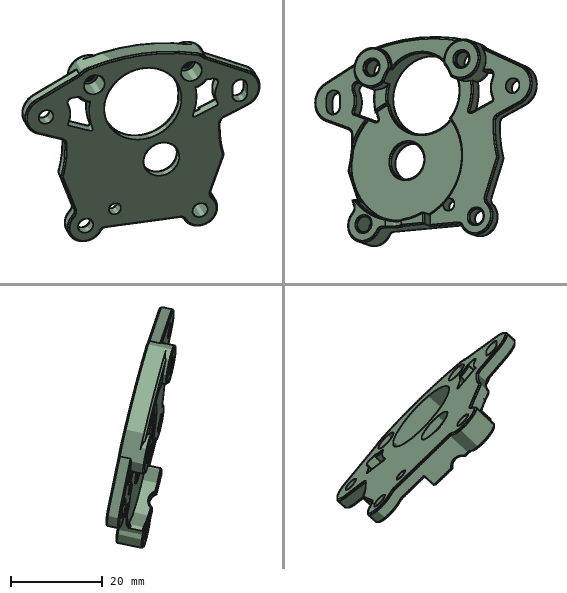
import cadquery as cq
import math


PLATE_HEIGHT = 3.0
POCKET_DEPTH = 0.6
RIM_HEIGHT = 4.95
BOSS_HEIGHT = 6.0
CHAMFER = 0.3
PAD_START = PLATE_HEIGHT / 2
RIM_CHAMFER = 0.55

HALF_WIDTH = 26.6
TOTAL_HEIGHT = 44.5
TOP_Z = 12.3
BOTTOM_Z = TOP_Z - TOTAL_HEIGHT

OPENING_RADIUS = 17.5 / 2
BEARING_RADIUS = 8.1 / 2
POCKET_CENTER = (4.2, -14.3)
POCKET_RADIUS = 13.55
PIN_HOLE_DIAMETER = 2.7
PIN_HOLE_CENTER = (-6.35, -25.0)

BOSS_RADIUS = 4.4
BOSS_Y = 11.0
BOSS_Z = 6.35
SCREW_DIAMETER = 3.4
BOSS_BORE_DIAMETER = 4.7
BOSS_LIP = 0.95

WING_RADIUS = 4.65
WING_Y = HALF_WIDTH - WING_RADIUS
WING_Z = 0.25
WING_TOP_ANGLE = math.radians(26.6)
WING_BOTTOM_ANGLE = math.radians(22.5)
WING_CORNER_FILLET = 1.5
WING_CORNER_Z = -6.65
WING_HOLE_DIAMETER = 3.3
SLOT_LENGTH = 5.3

WINDOW_INNER_RADIUS = 12.2
WINDOW_OUTER_RADIUS = 5.55
WINDOW_TOP_Z = 3.85
WINDOW_SILL_Y = 14.4
WINDOW_SILL_Z = -3.9
WINDOW_TOP_FILLET = 1.05
WINDOW_SILL_FILLET = 0.4
WINDOW_TOP_CORNER = (18.0, WINDOW_TOP_Z)
WINDOW_OUTER_CORNER = (17.2, -2.75)
WINDOW_INNER_CORNER = (10.95, -5.3)

BODY_HALF_WIDTH = 17.55
FLANK_START_Z = -8.8
TIP_Y = 18.45
TIP_Z = -15.45
TIP_FILLET = 1.35
FLANK_ARC_RADIUS = 25.55
BODY_BOTTOM_Z = -29.4

EAR_RADIUS = 4.0
EAR_Y = 13.0
EAR_Z = BOTTOM_Z + EAR_RADIUS
EAR_FLANK_Y = 14.9
EAR_FLANK_Z = -25.55
EAR_SIDE_FILLET = 1.5
EAR_SIDE_CORNER = (15.15, -24.75)
EAR_BOTTOM_FILLET = 1.05

PAD_END_Y = -1.85
PAD_TOP_Z = -22.6
PAD_END_FILLET = 0.55
PAD_END_CORNER_Z = -26.75
PAD_TIP_FILLET = 0.35
PAD_TIP_CORNER_Y = 15.25
DIP_RADIUS = 2.35
DIP_Y = 5.65
DIP_DEPTH = 1.05

ARC_RADIUS = (BOSS_Y**2 + (TOP_Z - BOSS_Z) ** 2 - BOSS_RADIUS**2) / (2 * (TOP_Z - BOSS_Z - BOSS_RADIUS))
ARC_CENTER_Z = TOP_Z - ARC_RADIUS
ARC_SCALE = ARC_RADIUS / (ARC_RADIUS - BOSS_RADIUS)
ARC_END_Y = BOSS_Y * ARC_SCALE
ARC_END_Z = ARC_CENTER_Z + (BOSS_Z - ARC_CENTER_Z) * ARC_SCALE


def plane(height=0.0):
    return cq.Workplane("YZ", origin=(-height, 0, 0))


def cylinder(center, radius, height):
    return plane().center(*center).circle(radius).extrude(-height)


def cone(center, radius, base_height, rise):
    """Cone frustum with 45 degree sides that widens toward the front."""
    base = cq.Vector(-base_height, *center)
    return cq.Workplane(cq.Solid.makeCone(radius, radius + rise, rise, base, cq.Vector(-1, 0, 0)))


def chamfered_hole(center, radius, height):
    """Cutter for a hole whose front edge, at the given height, is chamfered."""
    mouth = cone(center, radius, height - CHAMFER, CHAMFER)
    return cylinder(center, radius, height).union(mouth)


def fillet_upright(body, radius, y, z):
    """Round the edge along X that runs nearest to (y, z)."""
    x = body.val().Center().x
    return body.edges(cq.selectors.NearestToPointSelector((x, y, z))).fillet(radius)


def both_sides(shape):
    return shape.union(shape.mirror("XZ"))


def opening(height):
    return chamfered_hole((0, 0), OPENING_RADIUS, height)


def ear_hole(height):
    return chamfered_hole((EAR_Y, EAR_Z), SCREW_DIAMETER / 2, height)


def wing(height):
    top_y = WING_Y + WING_RADIUS * math.sin(WING_TOP_ANGLE)
    top_z = WING_Z + WING_RADIUS * math.cos(WING_TOP_ANGLE)
    bottom_y = WING_Y + WING_RADIUS * math.sin(WING_BOTTOM_ANGLE)
    bottom_z = WING_Z - WING_RADIUS * math.cos(WING_BOTTOM_ANGLE)
    inner_top_z = top_z + (top_y - BOSS_Y) * math.tan(WING_TOP_ANGLE)
    inner_bottom_z = bottom_z - (bottom_y - BOSS_Y) * math.tan(WING_BOTTOM_ANGLE)
    reach = (inner_top_z - BOSS_Z) * math.cos(WING_TOP_ANGLE)
    foot_y = BOSS_Y + reach * math.sin(WING_TOP_ANGLE)
    foot_z = BOSS_Z + reach * math.cos(WING_TOP_ANGLE)
    return (
        plane()
        .moveTo(top_y, top_z)
        .threePointArc((WING_Y + WING_RADIUS, WING_Z), (bottom_y, bottom_z))
        .lineTo(BOSS_Y, inner_bottom_z)
        .lineTo(BOSS_Y, BOSS_Z)
        .lineTo(foot_y, foot_z)
        .close()
        .extrude(-height)
    )


def lower_body(height):
    half = (
        plane()
        .moveTo(0, BOSS_Z)
        .lineTo(BOSS_Y, BOSS_Z)
        .lineTo(BODY_HALF_WIDTH, WING_Z)
        .lineTo(BODY_HALF_WIDTH, FLANK_START_Z)
        .radiusArc((TIP_Y, TIP_Z), -FLANK_ARC_RADIUS)
        .lineTo(EAR_FLANK_Y, EAR_FLANK_Z)
        .lineTo(EAR_Y, EAR_Z)
        .lineTo(EAR_Y, BODY_BOTTOM_Z)
        .lineTo(0, BODY_BOTTOM_Z)
        .close()
        .extrude(-height)
    )
    half = fillet_upright(half, TIP_FILLET, TIP_Y, TIP_Z)
    return half.union(cylinder((EAR_Y, EAR_Z), EAR_RADIUS, height))


def outline(height):
    """Outer contour of the wings, lower body and ears, without any openings."""
    half = lower_body(height).union(wing(height))
    half = fillet_upright(half, WING_CORNER_FILLET, BODY_HALF_WIDTH, WING_CORNER_Z)
    half = fillet_upright(half, EAR_SIDE_FILLET, *EAR_SIDE_CORNER)
    half = fillet_upright(half, EAR_BOTTOM_FILLET, EAR_Y - EAR_RADIUS, BODY_BOTTOM_Z)
    return both_sides(half)


def window(height):
    def sill_z(y):
        return WINDOW_SILL_Z + (y - WINDOW_SILL_Y) * math.tan(WING_BOTTOM_ANGLE)

    shape = (
        plane()
        .moveTo(BOSS_Y, WINDOW_TOP_Z)
        .lineTo(WING_Y, WINDOW_TOP_Z)
        .lineTo(WING_Y, sill_z(WING_Y))
        .lineTo(0, sill_z(0))
        .lineTo(0, 0)
        .lineTo(BOSS_Y, 0)
        .close()
        .extrude(-height)
        .cut(cylinder((0, 0), WINDOW_INNER_RADIUS, height))
        .cut(cylinder((WING_Y, 0), WINDOW_OUTER_RADIUS, height))
    )
    shape = fillet_upright(shape, WINDOW_TOP_FILLET, *WINDOW_TOP_CORNER)
    shape = fillet_upright(shape, WINDOW_SILL_FILLET, *WINDOW_OUTER_CORNER)
    return fillet_upright(shape, WINDOW_SILL_FILLET, *WINDOW_INNER_CORNER)


def plate(height):
    body = outline(height).faces(">X").edges().chamfer(CHAMFER)
    body = body.cut(both_sides(window(height)))
    body = body.faces("<X").edges().chamfer(CHAMFER)
    body = body.cut(opening(height))
    body = body.cut(chamfered_hole(POCKET_CENTER, BEARING_RADIUS, height))
    return body.cut(both_sides(ear_hole(height)))


def stepped_plate():
    """Full plate with the round pocket, whose floor has its own chamfered edges."""
    pocket = chamfered_hole(POCKET_CENTER, POCKET_RADIUS, PLATE_HEIGHT)
    return plate(PLATE_HEIGHT - POCKET_DEPTH).union(plate(PLATE_HEIGHT).cut(pocket))


def rim_half(height):
    """Half of the area below the top arc; its lower corner is the centre of the large opening."""
    return (
        plane()
        .moveTo(BOSS_Y, BOSS_Z)
        .lineTo(ARC_END_Y, ARC_END_Z)
        .radiusArc((0, TOP_Z), -ARC_RADIUS)
        .lineTo(0, 0)
        .close()
        .extrude(-height)
    )


def crown():
    """Rim below the top arc, ending in the two screw bosses."""
    rim = rim_half(RIM_HEIGHT)
    rim = rim.faces("<X").edges("%CIRCLE").chamfer(RIM_CHAMFER)
    rim = rim.faces(">X").edges("%CIRCLE").chamfer(CHAMFER)
    boss = cylinder((BOSS_Y, BOSS_Z), BOSS_RADIUS, BOSS_HEIGHT)
    boss = boss.faces("<X or >X").edges().chamfer(CHAMFER)
    half = rim.cut(opening(RIM_HEIGHT)).union(boss.cut(opening(BOSS_HEIGHT)))
    return both_sides(half)


def boss_bore():
    """Screw hole that widens behind a thin lip at the front."""
    lip_hole = chamfered_hole((BOSS_Y, BOSS_Z), SCREW_DIAMETER / 2, BOSS_HEIGHT)
    return lip_hole.union(cylinder((BOSS_Y, BOSS_Z), BOSS_BORE_DIAMETER / 2, BOSS_HEIGHT - BOSS_LIP))


def pad():
    area = (
        plane(PAD_START)
        .moveTo(PAD_END_Y, PAD_TOP_Z)
        .lineTo(HALF_WIDTH, PAD_TOP_Z)
        .lineTo(HALF_WIDTH, BOTTOM_Z)
        .lineTo(PAD_END_Y, BOTTOM_Z)
        .close()
        .extrude(PAD_START - BOSS_HEIGHT)
    )
    body = outline(BOSS_HEIGHT).intersect(area).cut(cylinder(POCKET_CENTER, POCKET_RADIUS, BOSS_HEIGHT))
    body = fillet_upright(body, PAD_END_FILLET, PAD_END_Y, PAD_END_CORNER_Z)
    body = fillet_upright(body, PAD_TIP_FILLET, PAD_TIP_CORNER_Y, PAD_TOP_Z)
    body = body.cut(cylinder((EAR_Y, EAR_Z), SCREW_DIAMETER / 2, BOSS_HEIGHT))
    dip = (
        cq.Workplane("XY", origin=(DIP_DEPTH - DIP_RADIUS - BOSS_HEIGHT, DIP_Y, BOTTOM_Z))
        .circle(DIP_RADIUS)
        .extrude(PAD_TOP_Z - BOTTOM_Z)
    )
    body = body.cut(dip)
    dip_z = (BODY_BOTTOM_Z + POCKET_CENTER[1] - POCKET_RADIUS) / 2
    dip_face = cq.selectors.NearestToPointSelector((DIP_DEPTH - BOSS_HEIGHT, DIP_Y, dip_z))
    rim_edges = body.faces("<X").edges().add(body.faces(dip_face).edges())

    def is_chamfered(edge):
        """False for the two straight ends of the dip, which stay sharp."""
        middle = edge.Center()
        beside_dip = abs(middle.y - DIP_Y) < DIP_RADIUS
        above_bottom = middle.z > BODY_BOTTOM_Z + CHAMFER
        return not (edge.geomType() == "LINE" and beside_dip and above_bottom)

    return rim_edges.filter(is_chamfered).chamfer(CHAMFER)


result = stepped_plate().union(crown()).union(pad())
result = result.cut(boss_bore()).cut(boss_bore().mirror("XZ"))
result = result.cut(cylinder(PIN_HOLE_CENTER, PIN_HOLE_DIAMETER / 2, BOSS_HEIGHT))
result = result.cut(cylinder((-WING_Y, 0), WING_HOLE_DIAMETER / 2, BOSS_HEIGHT))
result = result.cut(plane().center(WING_Y, 0).slot2D(SLOT_LENGTH, WING_HOLE_DIAMETER, 90).extrude(-PLATE_HEIGHT))